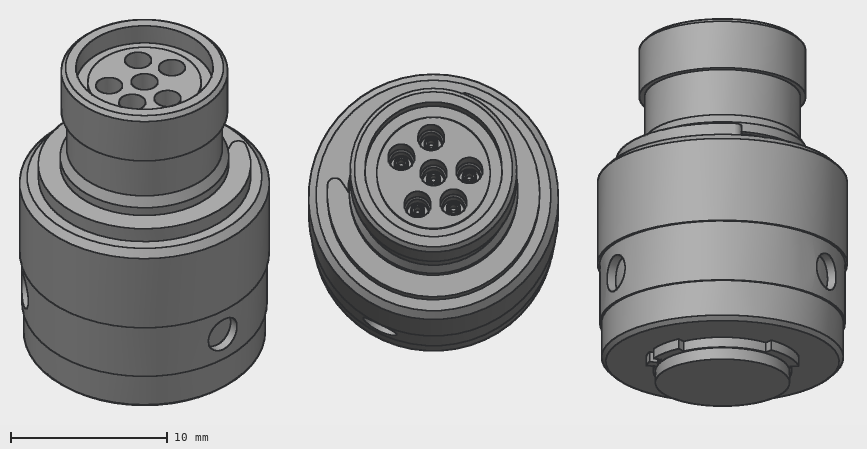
import cadquery as cq
import math

total_height = 23.0

head_radius = 5.34
head_chamfer = 0.28
head_bottom = 19.55
neck_radius = 5.0
collar_radius = 5.4
collar_cone_top = 16.47
collar_cone_bottom = 15.82
collar_bottom = 15.2
root_disc_radius = 5.5
root_disc_top = 14.45

shell_radius = 8.0
shell_top = 14.17
shell_chamfer_width = 0.48
shell_chamfer_height = 0.45
ring_radius = 7.87
ring_top = 8.12
base_radius = 7.75
base_top = 4.1
base_bottom = 1.45
base_chamfer = 0.28

flange_radius = 6.8
flange_opening = 9.02
flange_tip_radius = 0.48

socket_radius = 4.4
socket_depth = 1.38
insert_radius = 3.63
insert_height = 0.23
socket_floor = total_height - socket_depth
insert_top = socket_floor + insert_height

contact_circle_radius = 2.3
outer_contact_angles = (60, 120, 210, 270, 330)
well_mouth_radius = 0.85
well_mouth_depth = 1.85
well_radius = 0.71
well_cone_height = 0.14
well_depth = 3.22
pin_radius = 0.44
pin_bore_radius = 0.23
pin_tip_chamfer = 0.1

spanner_hole_radius = 1.2
spanner_hole_height = 6.07
spanner_hole_angles = (90, 210, 330)
spanner_floor_radius = 7.25

core_radius = 4.3
keyed_disc_radius = 4.45
keyed_disc_bottom = 0.78
key_radius = 5.0
key_angle_spans = ((70, 110), (183, 207), (212, 223), (313, 322), (329, 357))


def cylinder(radius, bottom, top):
    return cq.Workplane("XY").workplane(offset=bottom).circle(radius).extrude(top - bottom)


def point_at(radius, angle):
    return (radius * math.cos(math.radians(angle)), radius * math.sin(math.radians(angle)))


def turned_body():
    outline = [
        (0, base_bottom),
        (base_radius - base_chamfer, base_bottom),
        (base_radius, base_bottom + base_chamfer),
        (base_radius, base_top),
        (ring_radius, base_top),
        (ring_radius, ring_top),
        (shell_radius, ring_top),
        (shell_radius, shell_top - shell_chamfer_height),
        (shell_radius - shell_chamfer_width, shell_top),
        (root_disc_radius, shell_top),
        (root_disc_radius, root_disc_top),
        (neck_radius, root_disc_top),
        (neck_radius, collar_bottom),
        (collar_radius, collar_bottom),
        (collar_radius, collar_cone_bottom),
        (neck_radius, collar_cone_top),
        (neck_radius, head_bottom),
        (head_radius, head_bottom),
        (head_radius, total_height - head_chamfer),
        (head_radius - head_chamfer, total_height),
        (0, total_height),
    ]
    return cq.Workplane("XZ").polyline(outline).close().revolve(360, (0, 0), (0, 1))


def c_flange():
    opening = cq.Workplane("XY").workplane(offset=shell_top).rect(flange_opening, 2 * flange_radius)
    opening = opening.extrude(collar_bottom - shell_top).translate((0, flange_radius, 0))
    flange = cylinder(flange_radius, shell_top, collar_bottom).cut(opening)
    return flange.edges("|Z and >Y").fillet(flange_tip_radius)


def face_socket():
    return cylinder(socket_radius, socket_floor, total_height).cut(
        cylinder(insert_radius, socket_floor, insert_top)
    )


def contact_well():
    mouth_floor = insert_top - well_mouth_depth
    well_floor = insert_top - well_depth
    pin_tip = mouth_floor - well_cone_height
    mouth = cylinder(well_mouth_radius, mouth_floor, insert_top)
    pin = cylinder(pin_radius, well_floor, pin_tip).faces(">Z").chamfer(pin_tip_chamfer)
    pin = pin.cut(cylinder(pin_bore_radius, well_floor, pin_tip))
    cone = (
        cq.Workplane("XY")
        .workplane(offset=mouth_floor)
        .circle(well_mouth_radius)
        .workplane(offset=-well_cone_height)
        .circle(well_radius)
        .loft()
    )
    return mouth.union(cone).union(cylinder(well_radius, well_floor, mouth_floor)).cut(pin)


def contact_wells():
    wells = contact_well()
    for angle in outer_contact_angles:
        wells = wells.union(contact_well().translate(point_at(contact_circle_radius, angle)))
    return wells


def spanner_holes():
    drill = cq.Workplane("YZ").circle(spanner_hole_radius).extrude(shell_radius)
    drill = drill.translate((0, 0, spanner_hole_height))
    drill = drill.cut(cylinder(spanner_floor_radius, base_bottom, shell_top))
    holes = cq.Workplane("XY")
    for angle in spanner_hole_angles:
        holes = holes.add(drill.rotate((0, 0, 0), (0, 0, 1), angle))
    return holes.combine()


def key(start_angle, end_angle):
    outline = (
        cq.Workplane("XY")
        .workplane(offset=keyed_disc_bottom)
        .lineTo(*point_at(key_radius, start_angle))
        .threePointArc(
            point_at(key_radius, (start_angle + end_angle) / 2),
            point_at(key_radius, end_angle),
        )
        .close()
    )
    return outline.extrude(base_bottom - keyed_disc_bottom)


def rear_core():
    core = cylinder(core_radius, 0, base_bottom)
    core = core.union(cylinder(keyed_disc_radius, keyed_disc_bottom, base_bottom))
    for start_angle, end_angle in key_angle_spans:
        core = core.union(key(start_angle, end_angle))
    return core


result = (
    turned_body()
    .union(c_flange())
    .union(rear_core())
    .cut(face_socket())
    .cut(contact_wells())
    .cut(spanner_holes())
)